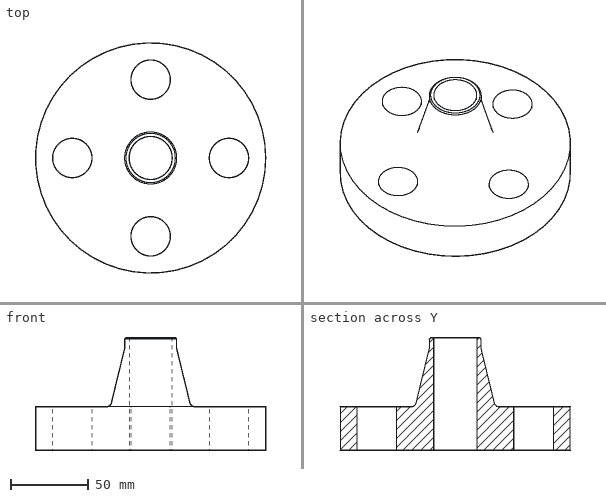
import cadquery as cq

flange_diameter = 149.3
flange_thickness = 28.4

overall_height = 73.2
neck_diameter = 33.7
neck_straight_length = 6.9
hub_base_diameter = 52.3
hub_fillet_radius = 3.3
weld_bevel = 0.9
bore_diameter = 27.8

bolt_hole_count = 4
bolt_hole_diameter = 25.4
bolt_circle_diameter = 101.5


def make_body():
    """Revolve the flange plate and its tapered neck about Z, with the base at Z = 0."""
    flange_radius = flange_diameter / 2
    neck_radius = neck_diameter / 2
    taper_top = overall_height - neck_straight_length
    half_section = (
        cq.Workplane("XZ")
        .lineTo(flange_radius, 0)
        .lineTo(flange_radius, flange_thickness)
        .lineTo(hub_base_diameter / 2, flange_thickness)
        .lineTo(neck_radius, taper_top)
        .lineTo(neck_radius, overall_height)
        .lineTo(0, overall_height)
        .close()
    )
    return half_section.revolve(360, (0, 0, 0), (0, 1, 0))


def round_hub_root(body):
    """Blend the foot of the tapered hub into the flange face."""
    foot_reach = hub_base_diameter / 2 + hub_fillet_radius
    foot_zone = cq.selectors.BoxSelector(
        (-foot_reach, -foot_reach, flange_thickness - hub_fillet_radius),
        (foot_reach, foot_reach, flange_thickness + hub_fillet_radius),
        boundingbox=True,
    )
    return body.edges(foot_zone).edges("%CIRCLE").fillet(hub_fillet_radius)


def bevel_weld_end(body):
    """Chamfer the outer rim of the neck end."""
    return body.faces(">Z").edges().chamfer(weld_bevel)


def drill_bore(body):
    """Open the pipe bore through the full height."""
    bore = cq.Workplane("XY").circle(bore_diameter / 2).extrude(overall_height)
    return body.cut(bore)


def drill_bolt_holes(body):
    """Drill evenly spaced bolt holes through the flange, the first on +X."""
    holes = (
        cq.Workplane("XY")
        .polarArray(bolt_circle_diameter / 2, 0, 360, bolt_hole_count)
        .circle(bolt_hole_diameter / 2)
        .extrude(flange_thickness)
    )
    return body.cut(holes)


body = make_body()
body = round_hub_root(body)
body = bevel_weld_end(body)
body = drill_bore(body)
result = drill_bolt_holes(body)